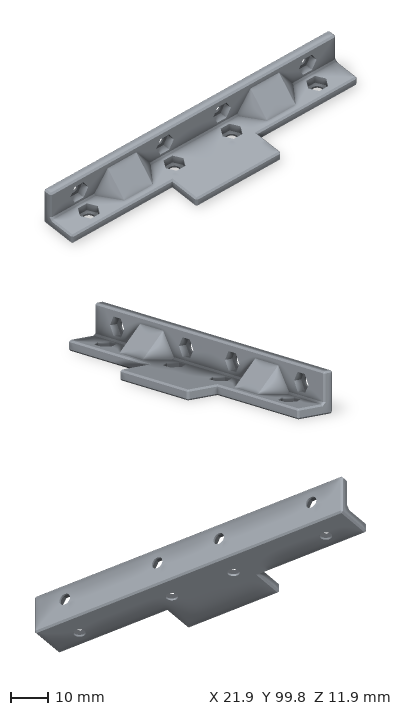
import cadquery as cq

length = 99.8
leg = 11.9
thickness = 3.0
edge_chamfer = 0.5

tab_reach = 21.9
tab_width = 29.7

hole_diameter = 3.4
hole_offset = 7.0
hole_positions = [-39.9, -10.0, 10.0, 39.9]

nut_across_flats = 5.4
nut_depth = 2.4

gusset_leg = 6.9
gusset_ridge_width = 10.0
gusset_base_width = 20.0
gusset_positions = [-24.95, 24.95]


def bracket_body():
    """L-shaped bar with its tab, every edge chamfered except the two vertical tab roots."""
    profile = [
        (0, 0),
        (leg, 0),
        (leg, thickness),
        (thickness, thickness),
        (thickness, leg),
        (0, leg),
    ]
    bar = cq.Workplane("XZ").polyline(profile).close().extrude(length / 2, both=True)
    tab = cq.Workplane("XY").box(tab_reach, tab_width, thickness, centered=(False, True, False))
    body = bar.union(tab, clean=True)

    tab_roots = cq.selectors.BoxSelector(
        (leg - edge_chamfer, -tab_width / 2 - edge_chamfer, edge_chamfer),
        (leg + edge_chamfer, tab_width / 2 + edge_chamfer, thickness - edge_chamfer),
    )
    all_edges = cq.StringSyntaxSelector("|X or |Y or |Z")
    return body.edges(all_edges - tab_roots).chamfer(edge_chamfer)


def gusset(y_center):
    """Corner brace with a flat sloping face and two side faces that lean out towards the wall."""
    tip = thickness + gusset_leg
    y_base_low = y_center - gusset_base_width / 2
    y_base_high = y_center + gusset_base_width / 2
    y_ridge_low = y_center - gusset_ridge_width / 2
    y_ridge_high = y_center + gusset_ridge_width / 2

    corner_low = (thickness, y_base_low, thickness)
    corner_high = (thickness, y_base_high, thickness)
    wall_low = (thickness, y_ridge_low, tip)
    wall_high = (thickness, y_ridge_high, tip)
    floor_low = (tip, y_ridge_low, thickness)
    floor_high = (tip, y_ridge_high, thickness)

    outlines = [
        [corner_low, corner_high, wall_high, wall_low],
        [corner_low, corner_high, floor_high, floor_low],
        [wall_low, wall_high, floor_high, floor_low],
        [corner_low, wall_low, floor_low],
        [corner_high, wall_high, floor_high],
    ]
    faces = [
        cq.Face.makeFromWires(cq.Wire.makePolygon([cq.Vector(*p) for p in outline], close=True))
        for outline in outlines
    ]
    return cq.Workplane(cq.Solid.makeSolid(cq.Shell.makeShell(faces)))


def screw_hole(plane):
    """Screw hole through one plate, drawn on its outer face, with a nut pocket on its inner face."""
    screw = cq.Workplane(plane).circle(hole_diameter / 2).extrude(thickness)
    nut = (
        cq.Workplane(plane)
        .workplane(offset=thickness - nut_depth)
        .polygon(6, nut_across_flats, circumscribed=True)
        .extrude(nut_depth)
    )
    return screw.union(nut)


result = bracket_body()
for y in gusset_positions:
    result = result.union(gusset(y))
for y in hole_positions:
    flange_plane = cq.Plane(origin=(hole_offset, y, 0), xDir=(1, 0, 0), normal=(0, 0, 1))
    wall_plane = cq.Plane(origin=(0, y, hole_offset), xDir=(0, 0, 1), normal=(1, 0, 0))
    result = result.cut(screw_hole(flange_plane)).cut(screw_hole(wall_plane))